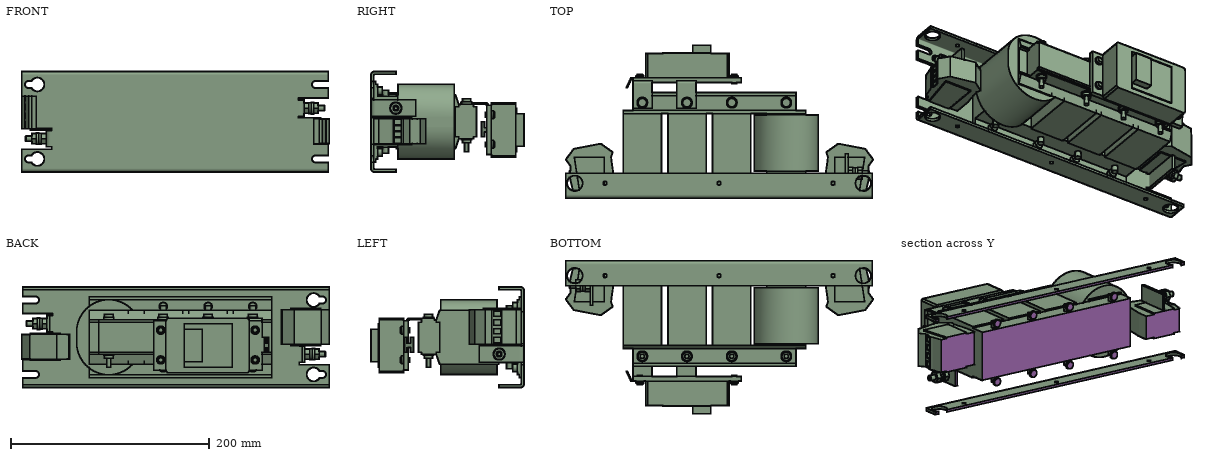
import cadquery as cq
import math


total_length = 310.2
channel_length = 309.2
channel_height = 101.7
channel_depth = 25.5
sheet = 3.0
bend_radius = 3.7
slot_z = 37.5
slot_width = 6.8
keyhole_x = 15.8
keyhole_radius = 6.8
keyhole_slot_x = 6.8
end_slot_length = 16.5
flange_hole_y = 15.2
flange_big_hole_radius = 7.8
flange_small_hole_radius = 2.0
flange_big_hole_inset = 9.3
flange_small_hole_inset = 39.7

block_notch_depth = 14.5
tab_notch_depth = 30.0
tab_inset = 24.5
tab_top_y = 45.0
tab_bend_radius = 4.5
cheek_thickness = 1.2
stud_y = 25.0
stud_radius = 2.8
stud_tip_inset = 3.5
stud_chamfer = 1.0
terminal_nut_flats = 10.5
terminal_nut_length = 4.5
washer_radii = (5.5, 6.0)
washer_thickness = 2.5
window_size_y = 6.8
window_size_z = 5.3
window_floor_x = 5.3
window_y = 27.0
window_count = 4

core_start_x = 58.0
core_end_x = 242.2
block_width = 38.8
block_pitch = 45.0
block_count = 3
core_half_height = 27.3
blocks_base_y = 25.5
blocks_top_y = 85.3
coil_center_x = 222.5
coil_width = 64.8
coil_height = 75.7
coil_base_y = 27.3
coil_top_y = 84.0
coil_core_width = 39.7

base_half_height = 25.7
foot_top_y = 5.0
foot_half_height = 40.5
strap_top_y = 6.8
strap_half_height = 37.8
base_bolt_y = 15.0
base_bolt_half_length = 32.0
base_bolt_radius = 3.0
foot_screw_z = 31.0
foot_screw_height = 4.5
foot_screw_radius = 4.0

seat_top_y = 88.7
seat_top_half_height = 17.5
yoke_start_x = 67.5
yoke_end_x = 232.3
yoke_half_height = 15.2
yoke_top_y = 106.7
clamp_top_y = 103.5
clamp_half_height = 17.5
yoke_bolt_y = 96.5
yoke_bolt_xs = (77.2, 122.2, 167.5, coil_center_x)
bolt_head_radius = 4.3
bolt_head_height = 3.0
bolt_washer_radius = 5.3
bolt_washer_height = 1.0
bolt_radius = 2.2
bolt_tip_z = -30.5

arm_thickness = 2.0
arm_width = 19.5
arm_start_xs = (yoke_start_x, 112.0)
arm_base_y = 90.5
arm_top_y = 118.5
arm_bend_radius = 2.8
support_end_x = 177.0
support_top_y = 121.5
support_bottom_z = -33.2
support_top_z = 16.7
catch_z = (-15.2, 0)
neck_z = (-10.5, -6.0)
catch_neck_y = (114.8, 118.5)
switch_start_x = 80.5
switch_end_x = 164.7
switch_bottom_z = -36.0
switch_top_z = 19.2
switch_top_y = 146.0
switch_corner = 2.0
cover_start_x = 98.0
cover_top_y = 147.0
cover_half_height = 22.0
knob_start_x = 128.0
knob_end_x = 146.5
knob_half_height = 16.5
total_depth = 154.5
support_screw_xs = (74.8, 170.0)
support_screw_zs = (7.0, -23.0)
screw_head_radius = 4.0
screw_head_height = 3.5
screw_tip_radius = 2.5
screw_tip_y = 115.5


def box(x_range, y_range, z_range):
    """Box between the given limits along each axis."""
    (x0, x1), (y0, y1), (z0, z1) = x_range, y_range, z_range
    return cq.Workplane("XY").box(x1 - x0, y1 - y0, z1 - z0, centered=False).translate((x0, y0, z0))


def rod(axis, start, length, radius):
    """Cylinder from a start point along an axis vector."""
    return cq.Workplane(cq.Solid.makeCylinder(radius, length, cq.Vector(*start), cq.Vector(*axis)))


def prism_z(points, z_range):
    """Outline in X and Y, extruded between two heights."""
    z0, z1 = z_range
    return cq.Workplane("XY").workplane(offset=z0).polyline(points).close().extrude(z1 - z0)


def prism_x(points, x_range):
    """Outline in Y and Z, extruded between two X places."""
    x0, x1 = x_range
    return cq.Workplane("YZ").workplane(offset=x0).polyline(points).close().extrude(x1 - x0)


def mirrored(length, shape):
    """Copy of a left-end shape at the right end of the given length."""
    return shape.mirror("YZ").translate((length, 0, 0))


def mounting_channel():
    half = channel_height / 2
    length = (0, channel_length)
    outer = box(length, (0, channel_depth), (-half, half)).edges("|X and <Y").fillet(bend_radius)
    inner_half = half - sheet
    inner = box(length, (sheet, channel_depth), (-inner_half, inner_half))
    inner = inner.edges("|X and <Y").fillet(bend_radius - sheet)
    channel = outer.cut(inner)

    half_slot = slot_width / 2
    for z in (-slot_z, slot_z):
        slot_z_range = (z - half_slot, z + half_slot)
        end_slot_x = channel_length - end_slot_length + half_slot
        channel = channel.cut(rod((0, 1, 0), (keyhole_x, 0, z), sheet, keyhole_radius))
        channel = channel.cut(rod((0, 1, 0), (keyhole_slot_x, 0, z), sheet, half_slot))
        channel = channel.cut(box((keyhole_slot_x, keyhole_x), (0, sheet), slot_z_range))
        channel = channel.cut(rod((0, 1, 0), (end_slot_x, 0, z), sheet, half_slot))
        channel = channel.cut(box((end_slot_x, channel_length), (0, sheet), slot_z_range))

    flange_holes = (
        (flange_big_hole_inset, flange_big_hole_radius),
        (flange_small_hole_inset, flange_small_hole_radius),
        (channel_length / 2, flange_small_hole_radius),
        (channel_length - flange_small_hole_inset, flange_small_hole_radius),
        (channel_length - flange_big_hole_inset, flange_big_hole_radius),
    )
    for x, radius in flange_holes:
        channel = channel.cut(rod((0, 0, 1), (x, flange_hole_y, -half), channel_height, radius))
    return channel


def end_notch(block_z_range, tab_z_range):
    """Opening at the left end of the channel face for a terminal block and its stud tab."""
    face = (0, sheet)
    block_notch = box((0, block_notch_depth), face, block_z_range)
    return block_notch.union(box((0, tab_notch_depth), face, tab_z_range))


def terminal_block(z_range):
    """Terminal housing held between two thin cheeks, at the left end."""
    profile = [
        (10.2, sheet), (10.2, 7.8), (7.0, 7.8), (4.3, 20.0), (3.0, 22.5), (4.5, 29.0), (4.5, 32.5), (0, 39.0),
        (8.0, 50.0), (35.5, 55.2), (47.5, 46.5), (46.0, 41.5), (46.5, 36.0), (48.7, 21.7), (48.7, sheet),
    ]
    cheek_profile = [(8.7, 41.3), (38.8, 41.3), (38.8, sheet), (14.5, sheet)]
    z0, z1 = z_range
    housing = prism_z(profile, z_range)
    window_pitch = (z1 - z0) / window_count
    window_y_range = (window_y - window_size_y / 2, window_y + window_size_y / 2)
    for index in range(window_count):
        z = z0 + (index + 0.5) * window_pitch
        window_z_range = (z - window_size_z / 2, z + window_size_z / 2)
        housing = housing.cut(box((0, window_floor_x), window_y_range, window_z_range))
    cheeks = prism_z(cheek_profile, (z0 - cheek_thickness, z1 + cheek_thickness))
    return housing.union(cheeks)


def stud_tab(z_range):
    """Tab bent up from the channel face with a nutted stud pointing outward, at the left end."""
    z0, z1 = z_range
    tab = box((tab_inset, tab_notch_depth), (0, tab_top_y), z_range)
    tab = tab.edges("|Z and <X and <Y").fillet(tab_bend_radius)
    inner = box((tab_inset + sheet, tab_notch_depth), (sheet, tab_top_y), z_range)
    inner = inner.edges("|Z and <X and <Y").fillet(tab_bend_radius - sheet)
    tab = tab.cut(inner)

    stud_z = (z0 + z1) / 2
    outward = (-1, 0, 0)
    stud = rod(outward, (tab_inset, stud_y, stud_z), tab_inset - stud_tip_inset, stud_radius)
    tab = tab.union(stud.faces("<X").chamfer(stud_chamfer))
    washer_x = tab_inset - terminal_nut_length
    for radius in washer_radii:
        tab = tab.union(rod(outward, (washer_x, stud_y, stud_z), washer_thickness, radius))
        washer_x -= washer_thickness
    corner_diameter = terminal_nut_flats / math.cos(math.pi / 6)
    for nut_x in (tab_inset, washer_x):
        nut = cq.Workplane("YZ").polygon(6, corner_diameter).extrude(-terminal_nut_length)
        tab = tab.union(nut.translate((nut_x, stud_y, stud_z)))
    return tab


def blocks_and_coil():
    core_x = (core_start_x, core_end_x)
    body = box(core_x, (sheet, blocks_base_y), (-base_half_height, base_half_height))
    core_z = (-core_half_height, core_half_height)
    for index in range(block_count):
        x = core_start_x + index * block_pitch
        body = body.union(box((x, x + block_width), (blocks_base_y, blocks_top_y), core_z))

    coil = cq.Workplane("XZ").slot2D(coil_height, coil_width, 90).extrude(coil_base_y - coil_top_y)
    coil = coil.translate((coil_center_x, coil_base_y, 0))
    coil_core_x = (core_end_x - coil_core_width, core_end_x)
    body = body.union(coil).union(box(coil_core_x, (blocks_base_y, blocks_top_y), core_z))

    body = body.union(box(core_x, (sheet, foot_top_y), (-foot_half_height, foot_half_height)))
    body = body.union(box(core_x, (foot_top_y, strap_top_y), (-strap_half_height, strap_half_height)))
    for x in yoke_bolt_xs:
        bolt_start = (x, base_bolt_y, -base_bolt_half_length)
        body = body.union(rod((0, 0, 1), bolt_start, 2 * base_bolt_half_length, base_bolt_radius))
        for z in (-foot_screw_z, foot_screw_z):
            body = body.union(rod((0, 1, 0), (x, strap_top_y, z), foot_screw_height, foot_screw_radius))
    return body


def upper_yoke():
    seat = prism_x(
        [
            (blocks_top_y, -core_half_height), (seat_top_y, -seat_top_half_height),
            (seat_top_y, seat_top_half_height), (blocks_top_y, core_half_height),
        ],
        (core_start_x, core_end_x),
    )
    yoke_x = (yoke_start_x, yoke_end_x)
    yoke_z = (-yoke_half_height, yoke_half_height)
    seat = seat.cut(box((core_start_x, core_end_x), (blocks_top_y, seat_top_y), yoke_z))
    yoke = seat.union(box(yoke_x, (blocks_top_y, yoke_top_y), yoke_z))
    yoke = yoke.union(box(yoke_x, (seat_top_y, clamp_top_y), (-clamp_half_height, clamp_half_height)))

    for x in yoke_bolt_xs:
        for side in (-1, 1):
            axis = (0, 0, side)
            seat_z = side * clamp_half_height
            washer_length = bolt_washer_height
            if side > 0:
                washer_length += arm_thickness
            head_z = seat_z + side * washer_length
            yoke = yoke.union(rod(axis, (x, yoke_bolt_y, seat_z), washer_length, bolt_washer_radius))
            yoke = yoke.union(rod(axis, (x, yoke_bolt_y, head_z), bolt_head_height, bolt_head_radius))
        yoke = yoke.union(rod((0, 0, 1), (x, yoke_bolt_y, bolt_tip_z), -bolt_tip_z, bolt_radius))
    return yoke


def switch_support():
    """Two bent arms carrying a flat plate, with a bent catch at its left edge."""
    arm_top_z = clamp_half_height + arm_thickness
    arm_inner_y = arm_top_y - arm_thickness
    support_z = (support_bottom_z, support_top_z)
    support = box((yoke_start_x, support_end_x), (arm_inner_y, support_top_y), support_z)
    for x in arm_start_xs:
        arm_x = (x, x + arm_width)
        arm = box(arm_x, (arm_base_y, arm_top_y), (support_bottom_z, arm_top_z))
        arm = arm.edges("|X and >Y and >Z").fillet(arm_bend_radius)
        inner = box(arm_x, (arm_base_y, arm_inner_y), (support_bottom_z, clamp_half_height))
        inner = inner.edges("|X and >Y and >Z").fillet(arm_bend_radius - arm_thickness)
        support = support.union(arm.cut(inner))

    catch_profile = [
        (yoke_start_x, support_top_y), (65.8, support_top_y), (61.0, 111.7), (62.0, 111.5), (66.5, 120.5),
        (yoke_start_x, 120.5),
    ]
    catch = prism_z(catch_profile, catch_z)
    for gap_z in ((catch_z[0], neck_z[0]), (neck_z[1], catch_z[1])):
        catch = catch.cut(box((core_start_x, yoke_start_x), catch_neck_y, gap_z))
    support = support.union(catch)

    screw_length = support_top_y + screw_head_height - screw_tip_y
    for x in support_screw_xs:
        for z in support_screw_zs:
            head = rod((0, 1, 0), (x, support_top_y, z), screw_head_height, screw_head_radius)
            head = head.faces(">Y").edges().chamfer(screw_head_height / 2)
            support = support.union(head)
            support = support.union(rod((0, 1, 0), (x, screw_tip_y, z), screw_length, screw_tip_radius))
    return support


def switch():
    middle_z = (switch_bottom_z + switch_top_z) / 2
    case = box((switch_start_x, switch_end_x), (support_top_y, switch_top_y), (switch_bottom_z, switch_top_z))
    case = case.edges("|Y").chamfer(switch_corner)
    cover_z = (middle_z - cover_half_height, middle_z + cover_half_height)
    knob_z = (middle_z - knob_half_height, middle_z + knob_half_height)
    case = case.union(box((cover_start_x, knob_end_x), (switch_top_y, cover_top_y), cover_z))
    return case.union(box((knob_start_x, knob_end_x), (cover_top_y, total_depth), knob_z))


left_block_z = (-7.0, 28.0)
left_tab_z = (-25.5, -8.7)
left_block_notch_z = (-6.8, 25.7)
left_tab_notch_z = (-27.5, -6.8)
right_block_z = (-22.0, 2.8)
right_tab_z = (5.3, 22.0)
right_block_notch_z = (-22.5, 4.0)
right_tab_notch_z = (4.0, 24.0)

result = mounting_channel()
result = result.cut(end_notch(left_block_notch_z, left_tab_notch_z))
result = result.cut(mirrored(channel_length, end_notch(right_block_notch_z, right_tab_notch_z)))
result = result.union(terminal_block(left_block_z))
result = result.union(stud_tab(left_tab_z))
result = result.union(mirrored(total_length, terminal_block(right_block_z)))
result = result.union(mirrored(channel_length, stud_tab(right_tab_z)))
for assembly in (blocks_and_coil(), upper_yoke(), switch_support(), switch()):
    result = result.union(assembly)